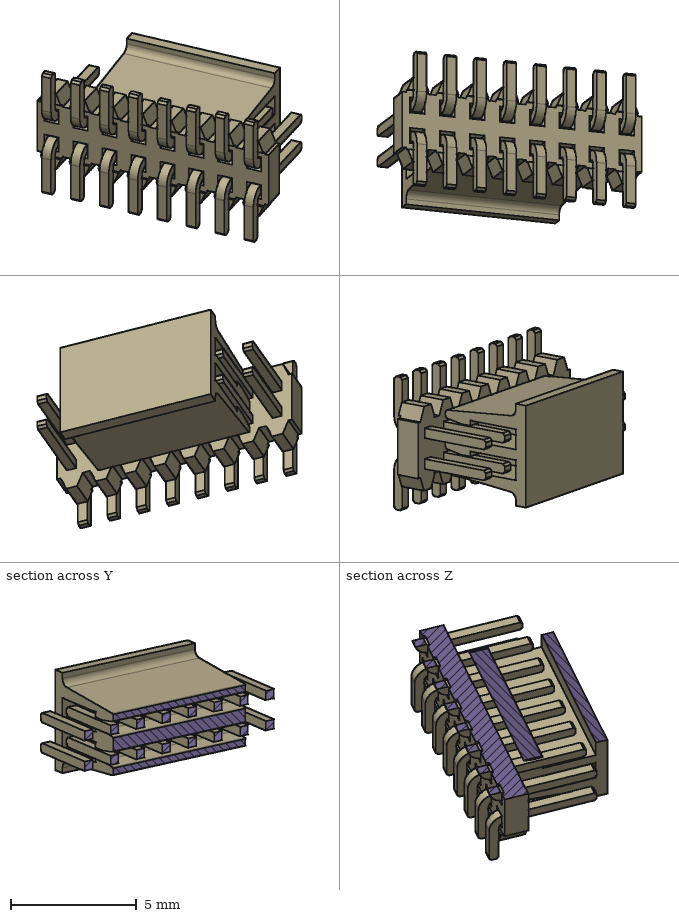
import cadquery as cq
import math


PIN_COLUMNS = 8
PITCH = 1.27
ROW_Z = PITCH / 2

BASE_LENGTH = PIN_COLUMNS * PITCH
BASE_DEPTH = 1.02
BASE_HALF_HEIGHT = 1.15
RIB_HALF_HEIGHT = 1.74
RIB_ROOT_WIDTH = 0.97
RIB_TIP_WIDTH = 0.47
STANDOFF = 0.09
STANDOFF_START_Z = 1.24
POCKET_SIZE = 0.64
POCKET_DEPTH = 0.2

PIN_SIZE = 0.41
PIN_TIP_Y = 4.05
FOOT_SPAN = 5.5
PIN_FOOT_Z = FOOT_SPAN / 2
PIN_CHAMFER = 0.1
BEND_INNER_RADIUS = 0.25
BEND_OUTER_RADIUS = BEND_INNER_RADIUS + PIN_SIZE
FOOT_BACK_Y = -STANDOFF
FOOT_FRONT_Y = FOOT_BACK_Y - PIN_SIZE
PIN_INNER_Z = ROW_Z - PIN_SIZE / 2
PIN_OUTER_Z = ROW_Z + PIN_SIZE / 2

CAP_LENGTH = 6.5
CAP_BACK_Y = 5.0
CAP_PLATE_THICKNESS = 0.5
CAP_PLATE_FRONT_Y = CAP_BACK_Y - CAP_PLATE_THICKNESS
CAP_HALF_HEIGHT = 2.1
LEG_TIP_Y = BASE_DEPTH
LEG_TIP_OUTER_Z = 1.29
LEG_DRAFT_DEGREES = 5.0
LEG_ROOT_FILLET = 0.3
LEG_TIP_FILLET = 0.12
SLOT_HEIGHT = 0.83
SLOT_FRONT_Y = 2.26
LEAD_IN_START_Y = 1.79
LEAD_IN = 0.13


def column_x(column):
    """X of a pin column, counted from the -X end."""
    return (column - (PIN_COLUMNS - 1) / 2) * PITCH


def both_rows(solid):
    """The solid on the upper row together with its mirror image on the lower row."""
    return solid.union(solid.mirror("XY"))


def extrude_along_x(side_profile, length):
    """Extrude a closed YZ profile, centred on X = 0."""
    return side_profile.extrude(length / 2, both=True)


def make_pin():
    """Upper-row pin at X = 0: straight contact, bend and upright solder foot."""
    chamfer = PIN_CHAMFER
    bend_y = FOOT_BACK_Y + BEND_INNER_RADIUS
    bend_z = PIN_OUTER_Z + BEND_INNER_RADIUS
    inner_offset = BEND_INNER_RADIUS * math.sqrt(0.5)
    outer_offset = BEND_OUTER_RADIUS * math.sqrt(0.5)
    profile = (
        cq.Workplane("YZ")
        .moveTo(bend_y, PIN_INNER_Z)
        .lineTo(PIN_TIP_Y - chamfer, PIN_INNER_Z)
        .lineTo(PIN_TIP_Y, PIN_INNER_Z + chamfer)
        .lineTo(PIN_TIP_Y, PIN_OUTER_Z - chamfer)
        .lineTo(PIN_TIP_Y - chamfer, PIN_OUTER_Z)
        .lineTo(bend_y, PIN_OUTER_Z)
        .threePointArc((bend_y - inner_offset, bend_z - inner_offset), (FOOT_BACK_Y, bend_z))
        .lineTo(FOOT_BACK_Y, PIN_FOOT_Z - chamfer)
        .lineTo(FOOT_BACK_Y - chamfer, PIN_FOOT_Z)
        .lineTo(FOOT_FRONT_Y + chamfer, PIN_FOOT_Z)
        .lineTo(FOOT_FRONT_Y, PIN_FOOT_Z - chamfer)
        .lineTo(FOOT_FRONT_Y, bend_z)
        .threePointArc((bend_y - outer_offset, bend_z - outer_offset), (bend_y, PIN_INNER_Z))
        .close()
    )
    return extrude_along_x(profile, PIN_SIZE)


def make_rib():
    """Tapered rib above the strip at X = 0, with a stand-off pad proud of the front face."""
    rib = (
        cq.Workplane("XZ")
        .polyline([
            (-RIB_ROOT_WIDTH / 2, BASE_HALF_HEIGHT),
            (RIB_ROOT_WIDTH / 2, BASE_HALF_HEIGHT),
            (RIB_TIP_WIDTH / 2, RIB_HALF_HEIGHT),
            (-RIB_TIP_WIDTH / 2, RIB_HALF_HEIGHT),
        ])
        .close()
        .extrude(-(BASE_DEPTH + STANDOFF))
        .translate((0, -STANDOFF, 0))
    )
    step = cq.Workplane("XY").box(
        RIB_ROOT_WIDTH, STANDOFF, STANDOFF_START_Z - BASE_HALF_HEIGHT, centered=(True, False, False)
    ).translate((0, -STANDOFF, BASE_HALF_HEIGHT))
    return rib.cut(step)


def make_pocket():
    """Square funnel in the front face that narrows to the upper-row pin at X = 0."""
    return (
        cq.Workplane("XZ", origin=(0, 0, ROW_Z))
        .rect(POCKET_SIZE, POCKET_SIZE)
        .workplane(offset=-POCKET_DEPTH)
        .rect(PIN_SIZE, PIN_SIZE)
        .loft()
    )


def make_header():
    """Base strip with ribs, funnel pockets and both rows of pins, as one solid."""
    header = cq.Workplane("XY").box(
        BASE_LENGTH, BASE_DEPTH, 2 * BASE_HALF_HEIGHT, centered=(True, False, True)
    )
    rib_pair = both_rows(make_rib())
    pocket_pair = both_rows(make_pocket())
    pin_pair = both_rows(make_pin())
    for column in range(PIN_COLUMNS):
        place = (column_x(column), 0, 0)
        header = header.union(rib_pair.translate(place))
        header = header.cut(pocket_pair.translate(place))
        header = header.union(pin_pair.translate(place))
    return header


def make_cap_slot():
    """Clearance for the upper pin row: wide slot, gripping stretch and flared mouth."""
    slot_inner_z = ROW_Z - SLOT_HEIGHT / 2
    slot_outer_z = ROW_Z + SLOT_HEIGHT / 2
    profile = (
        cq.Workplane("YZ")
        .polyline([
            (CAP_PLATE_FRONT_Y, slot_inner_z),
            (CAP_PLATE_FRONT_Y, slot_outer_z),
            (SLOT_FRONT_Y, slot_outer_z),
            (SLOT_FRONT_Y, PIN_OUTER_Z),
            (LEAD_IN_START_Y, PIN_OUTER_Z),
            (LEG_TIP_Y, PIN_OUTER_Z + LEAD_IN),
            (LEG_TIP_Y, PIN_INNER_Z - LEAD_IN),
            (LEAD_IN_START_Y, PIN_INNER_Z),
            (SLOT_FRONT_Y, PIN_INNER_Z),
            (SLOT_FRONT_Y, slot_inner_z),
        ])
        .close()
    )
    return extrude_along_x(profile, CAP_LENGTH)


def make_cap():
    """Flat pick-up plate at the back with drafted outer legs and a middle leg."""
    leg_length = CAP_PLATE_FRONT_Y - LEG_TIP_Y
    leg_root_z = LEG_TIP_OUTER_Z + leg_length * math.tan(math.radians(LEG_DRAFT_DEGREES))
    plate = cq.Workplane("XY").box(
        CAP_LENGTH, CAP_PLATE_THICKNESS, 2 * CAP_HALF_HEIGHT, centered=(True, False, True)
    ).translate((0, CAP_PLATE_FRONT_Y, 0))
    leg_block = extrude_along_x(
        cq.Workplane("YZ")
        .polyline([
            (LEG_TIP_Y, -LEG_TIP_OUTER_Z),
            (LEG_TIP_Y, LEG_TIP_OUTER_Z),
            (CAP_PLATE_FRONT_Y, leg_root_z),
            (CAP_PLATE_FRONT_Y, -leg_root_z),
        ])
        .close(),
        CAP_LENGTH,
    )
    cap = plate.union(leg_block)
    for corner_z in (-leg_root_z, leg_root_z):
        root_corner = cq.NearestToPointSelector((0, CAP_PLATE_FRONT_Y, corner_z))
        cap = cap.edges(root_corner).fillet(LEG_ROOT_FILLET)
    cap = cap.cut(both_rows(make_cap_slot()))
    return cap.faces("<Y").edges("|X").fillet(LEG_TIP_FILLET)


header = make_header()
cap = make_cap()

result = cq.Compound.makeCompound([header.solids().val(), cap.solids().val()])